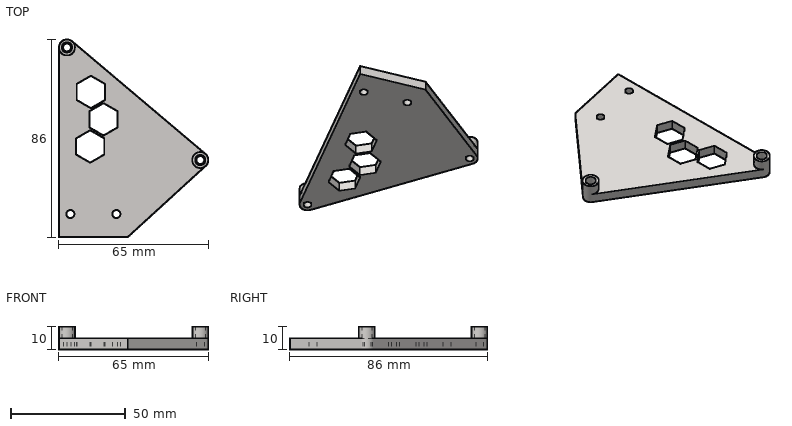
import cadquery as cq
import math

plate_thickness = 5.0
bottom_edge_length = 30.0

boss_diameter = 7.0
boss_radius = boss_diameter / 2
boss_height = 5.0
boss_bore_diameter = 4.5
overall_width = 65.0
overall_length = 86.0
right_boss_y = 33.5
top_boss = (boss_radius, overall_length - boss_radius)
right_boss = (overall_width - boss_radius, right_boss_y)

screw_hole_diameter = 3.4
mount_hole_inset = 5.0
mount_hole_spacing = 20.0
mount_hole_y = 10.0
mount_holes = [
    (mount_hole_inset, mount_hole_y),
    (mount_hole_inset + mount_hole_spacing, mount_hole_y),
]

hexagon_sides = 6
hexagon_corner_diameter = 14.0
hexagon_centers = [(13.9, 63.1), (19.4, 51.2), (13.6, 39.4)]


def point_on_corner(center, angle):
    """Point on the rounded corner around center, at angle (radians) from +X."""
    return (
        center[0] + boss_radius * math.cos(angle),
        center[1] + boss_radius * math.sin(angle),
    )


def make_plate():
    """Plate whose straight sides run tangent to the two rounded corners."""
    upper_run = top_boss[0] - right_boss[0]
    upper_rise = top_boss[1] - right_boss[1]
    upper_angle = math.atan2(upper_rise, upper_run) - math.pi / 2

    lower_run = right_boss[0] - bottom_edge_length
    lower_rise = right_boss[1]
    center_distance = math.hypot(lower_run, lower_rise)
    tangent_tilt = math.asin(boss_radius / center_distance)
    lower_angle = math.atan2(lower_rise, lower_run) + tangent_tilt - math.pi / 2

    right_middle_angle = (lower_angle + upper_angle) / 2
    top_middle_angle = (upper_angle + math.pi) / 2

    return (
        cq.Workplane("XY")
        .moveTo(0, 0)
        .lineTo(bottom_edge_length, 0)
        .lineTo(*point_on_corner(right_boss, lower_angle))
        .threePointArc(
            point_on_corner(right_boss, right_middle_angle),
            point_on_corner(right_boss, upper_angle),
        )
        .lineTo(*point_on_corner(top_boss, upper_angle))
        .threePointArc(
            point_on_corner(top_boss, top_middle_angle),
            point_on_corner(top_boss, math.pi),
        )
        .close()
        .extrude(plate_thickness)
    )


def make_bosses():
    """Tubular bosses on top of the plate."""
    return (
        cq.Workplane("XY", origin=(0, 0, plate_thickness))
        .pushPoints([top_boss, right_boss])
        .circle(boss_radius)
        .circle(boss_bore_diameter / 2)
        .extrude(boss_height)
    )


def make_round_holes():
    """Cutters for the round holes through the plate."""
    return (
        cq.Workplane("XY")
        .pushPoints([top_boss, right_boss] + mount_holes)
        .circle(screw_hole_diameter / 2)
        .extrude(plate_thickness)
    )


def make_hexagon_windows():
    """Cutters for the hexagonal windows through the plate."""
    quarter_turn = 90
    windows = cq.Workplane("XY")
    for x, y in hexagon_centers:
        window = (
            cq.Workplane("XY")
            .polygon(hexagon_sides, hexagon_corner_diameter)
            .extrude(plate_thickness)
            .rotate((0, 0, 0), (0, 0, 1), quarter_turn)
            .translate((x, y, 0))
        )
        windows = windows.add(window)
    return windows.combine()


plate = make_plate().cut(make_round_holes()).cut(make_hexagon_windows())
result = plate.union(make_bosses())